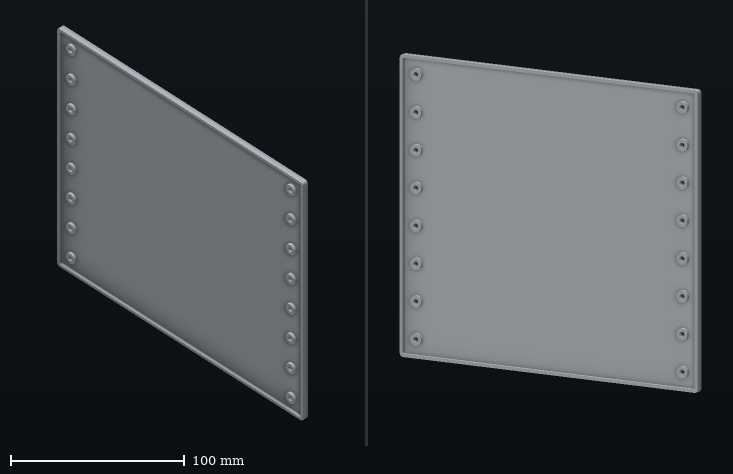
import cadquery as cq

width = 199.6
height = 178.0
thickness = 4.0
corner_radius = 2.0

rim_width = 2.0
recess_depth = 2.0
recess_corner_radius = 1.0

boss_diameter = 7.2
hole_diameter = 3.2
boss_height = recess_depth
bosses_per_column = 8
boss_pitch = height / bosses_per_column
column_spacing = 178.5

front_y = -thickness / 2
floor_y = front_y + recess_depth


def rounded_slab(size_x, size_z, depth, radius, start_y):
    """Slab from start_y toward +Y, with its four Y-direction edges rounded."""
    slab = cq.Workplane("XY").box(size_x, depth, size_z).edges("|Y").fillet(radius)
    return slab.translate((0, start_y + depth / 2, 0))


def cylinders_at_bosses(diameter, start_y, length):
    """Cylinders at every boss position, running from start_y toward -Y."""
    return (
        cq.Workplane("XZ", origin=(0, start_y, 0))
        .rarray(column_spacing, boss_pitch, 2, bosses_per_column)
        .circle(diameter / 2)
        .extrude(length)
    )


panel = rounded_slab(width, height, thickness, corner_radius, front_y)

recess = rounded_slab(
    width - 2 * rim_width,
    height - 2 * rim_width,
    recess_depth,
    recess_corner_radius,
    front_y,
)

bosses = cylinders_at_bosses(boss_diameter, floor_y, boss_height)
holes = cylinders_at_bosses(hole_diameter, thickness / 2, thickness)

result = panel.cut(recess).union(bosses).cut(holes)